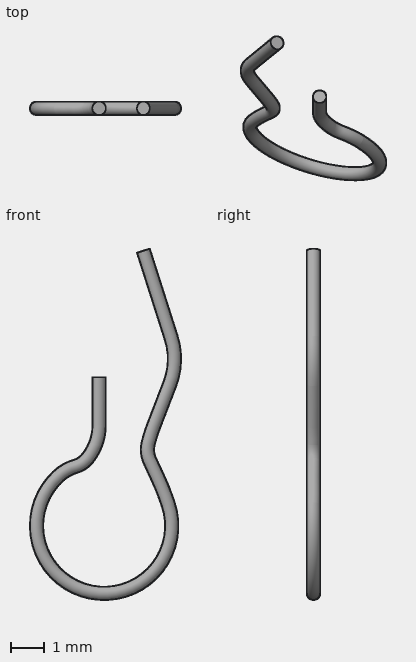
import cadquery as cq
import math

wire_radius = 0.2

ring_radius = 2.0
ring_left_angle = 132.2
ring_right_angle = 18.3

shoulder_bend = (1.28, -25.9)
neck_bend = (0.7, 35.1)
upper_neck_bend = (1.59, 17.0)
leg_bend_radius = 1.54
leg_tip_height = 4.4

arm_flare_bend = (7.5, 6.5)
arm_lower_length = 0.56
waist_bend = (0.77, -38.6)
upper_waist_bend = (4.3, -7.2)
arm_middle_length = 1.34
bulge_bend = (2.05, 38.7)
total_height = 10.4


class WirePath:
    """Tangent bends and straights in the XZ plane, added one after another."""

    def __init__(self, position, heading):
        self.position = position
        self.heading = heading
        self.edges = []

    def step(self, length, direction):
        x, z = self.position
        angle = math.radians(direction)
        return (x + length * math.cos(angle), z + length * math.sin(angle))

    def straight(self, length):
        end = self.step(length, self.heading)
        self.edges.append(cq.Edge.makeLine(point(self.position), point(end)))
        self.position = end

    def straight_to_height(self, height):
        rise = height - self.position[1]
        self.straight(rise / math.sin(math.radians(self.heading)))

    def bend(self, radius, turn):
        half_chord = 2 * radius * math.sin(math.radians(abs(turn)) / 4)
        chord = 2 * radius * math.sin(math.radians(abs(turn)) / 2)
        middle = self.step(half_chord, self.heading + turn / 4)
        end = self.step(chord, self.heading + turn / 2)
        self.edges.append(cq.Edge.makeThreePointArc(point(self.position), point(middle), point(end)))
        self.position = end
        self.heading += turn


def point(position):
    x, z = position
    return cq.Vector(x, 0, z)


def ring_point(angle):
    radians = math.radians(angle)
    return (ring_radius * math.cos(radians), ring_radius * math.sin(radians))


def short_leg():
    """Path from the left end of the ring up to the vertical tip."""
    leg = WirePath(ring_point(ring_left_angle), ring_left_angle - 90)
    leg.bend(*shoulder_bend)
    leg.bend(*neck_bend)
    leg.bend(*upper_neck_bend)
    leg.bend(leg_bend_radius, 90 - leg.heading)
    leg.straight_to_height(leg_tip_height)
    return leg


def ring_and_arm():
    """Path from the left end of the ring, round its bottom and up to the tip of the arm."""
    arm = WirePath(ring_point(ring_left_angle), ring_left_angle + 90 - 360)
    arm.bend(ring_radius, ring_right_angle + 360 - ring_left_angle)
    arm.bend(*arm_flare_bend)
    arm.straight(arm_lower_length)
    arm.bend(*waist_bend)
    arm.bend(*upper_waist_bend)
    arm.straight(arm_middle_length)
    arm.bend(*bulge_bend)
    corner_rise = wire_radius * abs(math.cos(math.radians(arm.heading)))
    arm.straight_to_height(total_height - ring_radius - wire_radius - corner_rise)
    return arm


leg = short_leg()
arm = ring_and_arm()
centreline = cq.Wire.assembleEdges(leg.edges[::-1] + arm.edges)

tip_plane = cq.Plane(origin=point(leg.position), xDir=(1, 0, 0), normal=(0, 0, 1))
result = cq.Workplane(tip_plane).circle(wire_radius).sweep(cq.Workplane(centreline))